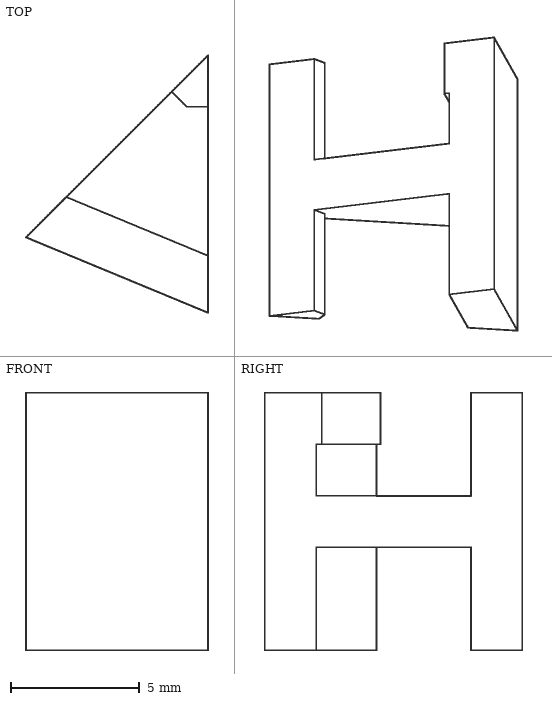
import cadquery as cq
import math

SECTOR_ANGLE = 45.0
WHEEL_RADIUS = 10.0
WHEEL_HEIGHT = 10.0
HUB_APOTHEM = 2.0
RIM_WIDTH = 2.0
LIP_OVERHANG = 0.2
LIP_HEIGHT = 2.0
WEB_THICKNESS = 2.0

FIRST_CUT_DIRECTION = 225.0
SECOND_CUT_DIRECTION = FIRST_CUT_DIRECTION + SECTOR_ANGLE
MIDDLE_DIRECTION = FIRST_CUT_DIRECTION + SECTOR_ANGLE / 2


def polar_point(radius, direction):
    """Point at a distance from the axis, direction in degrees from +X."""
    angle = math.radians(direction)
    return (radius * math.cos(angle), radius * math.sin(angle))


def prism(points, bottom, height):
    """Upright prism on a closed outline, starting at the given height."""
    return cq.Workplane("XY").workplane(offset=bottom).polyline(points).close().extrude(height)


def rim_band(width, bottom, height):
    """Straight band along the outer flat, between the two cut faces."""
    inner_radius = WHEEL_RADIUS - width
    points = [
        polar_point(inner_radius, FIRST_CUT_DIRECTION),
        polar_point(WHEEL_RADIUS, FIRST_CUT_DIRECTION),
        polar_point(WHEEL_RADIUS, SECOND_CUT_DIRECTION),
        polar_point(inner_radius, SECOND_CUT_DIRECTION),
    ]
    return prism(points, bottom, height)


def hub():
    """Full-height kite whose two flats are square to the cut faces."""
    corner_radius = HUB_APOTHEM / math.cos(math.radians(SECTOR_ANGLE / 2))
    points = [
        (0, 0),
        polar_point(HUB_APOTHEM, FIRST_CUT_DIRECTION),
        polar_point(corner_radius, MIDDLE_DIRECTION),
        polar_point(HUB_APOTHEM, SECOND_CUT_DIRECTION),
    ]
    return prism(points, 0, WHEEL_HEIGHT)


def web():
    """Triangular plate at mid-height joining hub and rim."""
    points = [
        (0, 0),
        polar_point(WHEEL_RADIUS, FIRST_CUT_DIRECTION),
        polar_point(WHEEL_RADIUS, SECOND_CUT_DIRECTION),
    ]
    return prism(points, (WHEEL_HEIGHT - WEB_THICKNESS) / 2, WEB_THICKNESS)


rim = rim_band(RIM_WIDTH, 0, WHEEL_HEIGHT)
lip_width = RIM_WIDTH + LIP_OVERHANG / math.cos(math.radians(SECTOR_ANGLE / 2))
lip = rim_band(lip_width, WHEEL_HEIGHT - LIP_HEIGHT, LIP_HEIGHT)

result = web().union(hub()).union(rim).union(lip)